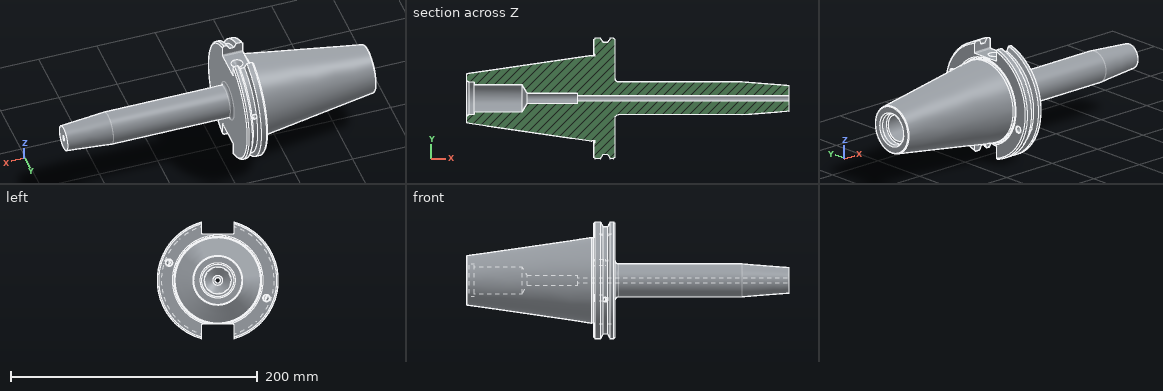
import cadquery as cq
import math


GAUGE_DIA = 69.85
TAPER_LENGTH = 101.6
TAPER_RATIO = 7 / 24
TAPER_END_CHAMFER = 0.6
NECK_DIA = 69.25
NECK_RUNOUT = 0.3
RELIEF_DIA = 73.6
RELIEF_FLOOR_DIA = 71.4
RELIEF_DEPTH = 1.0

FLANGE_DIA = 98.3
FLANGE_BACK = 1.5
FLANGE_FRONT = 19.05
FLANGE_CHAMFER = 1.3
GROOVE_CENTER = 11.1
GROOVE_FLOOR_DIA = 91.2
GROOVE_FLOOR_WIDTH = 3.7
GROOVE_HALF_ANGLE = 30

SLOT_WIDTH = 26.2
SLOT_FILLET = 0.7
UPPER_SLOT_FLOOR = 37.7
LOWER_SLOT_FLOOR = 35.3
DIMPLE_DIA = 9.53
DRILL_POINT_ANGLE = 118

SHANK_DIA = 27.0
SHANK_FILLET = 2.5
OVERALL_REACH = 160.0
NOSE_END_DIA = 21.0
NOSE_HALF_ANGLE = 4.5

MOUTH_DIA = 28.6
MOUTH_CHAMFER_LENGTH = 2.0
RECESS_DIA = 26.2
RECESS_DEPTH = 6.3
SOCKET_DIA = 21.97
SOCKET_DEPTH = 45.0
PILOT_DIA = 8.0
PILOT_DEPTH = 90.0
THROUGH_DIA = 4.2

COOLANT_ANGLE = 20
COOLANT_RADIUS = 42.0
COOLANT_DIA = 5.0
COOLANT_MOUTH_DIA = 6.0
RADIAL_HOLE_DIA = 4.13


def drill_point(diameter):
    """Length of the conical tip left by a drill."""
    return diameter / 2 / math.tan(math.radians(DRILL_POINT_ANGLE / 2))


def revolve_about_x(points):
    """Turn a half profile of (x, radius) points into a solid about X."""
    return cq.Workplane("XY").polyline(points).close().revolve(360, (0, 0, 0), (1, 0, 0))


def drill(start, direction, diameter, depth):
    """Blind drilled hole: a cylinder of the given depth with a conical tip."""
    plane = cq.Plane(origin=start, normal=direction)
    radius = diameter / 2
    tip = depth + drill_point(diameter)
    profile = [(0, 0), (radius, 0), (radius, depth), (0, tip)]
    hole = cq.Workplane("XY").polyline(profile).close().revolve(360, (0, 0, 0), (0, 1, 0))
    hole = hole.rotate((0, 0, 0), (1, 0, 0), 90)
    return cq.Workplane(obj=hole.val().moved(cq.Location(plane)))


def make_taper():
    gauge_radius = GAUGE_DIA / 2
    neck_radius = NECK_DIA / 2
    end_radius = (GAUGE_DIA - TAPER_LENGTH * TAPER_RATIO) / 2
    profile = [
        (-TAPER_LENGTH, 0),
        (-TAPER_LENGTH, end_radius - TAPER_END_CHAMFER),
        (-TAPER_LENGTH + TAPER_END_CHAMFER, end_radius + TAPER_END_CHAMFER * TAPER_RATIO / 2),
        (0, gauge_radius),
        (NECK_RUNOUT, neck_radius),
        (FLANGE_BACK, neck_radius),
        (FLANGE_BACK, 0),
    ]
    return revolve_about_x(profile)


def make_flange():
    radius = FLANGE_DIA / 2
    floor_radius = GROOVE_FLOOR_DIA / 2
    floor_half = GROOVE_FLOOR_WIDTH / 2
    mouth_half = floor_half + (radius - floor_radius) * math.tan(math.radians(GROOVE_HALF_ANGLE))
    profile = [
        (FLANGE_BACK, 0),
        (FLANGE_BACK, radius - FLANGE_CHAMFER),
        (FLANGE_BACK + FLANGE_CHAMFER, radius),
        (GROOVE_CENTER - mouth_half, radius),
        (GROOVE_CENTER - floor_half, floor_radius),
        (GROOVE_CENTER + floor_half, floor_radius),
        (GROOVE_CENTER + mouth_half, radius),
        (FLANGE_FRONT - FLANGE_CHAMFER, radius),
        (FLANGE_FRONT, radius - FLANGE_CHAMFER),
        (FLANGE_FRONT, 0),
    ]
    return revolve_about_x(profile)


def make_shank():
    shank_radius = SHANK_DIA / 2
    nose_radius = NOSE_END_DIA / 2
    nose_length = (shank_radius - nose_radius) / math.tan(math.radians(NOSE_HALF_ANGLE))
    fillet_end = FLANGE_FRONT + SHANK_FILLET
    fillet_middle = SHANK_FILLET * (1 - math.sqrt(0.5))
    return (
        cq.Workplane("XY")
        .moveTo(FLANGE_FRONT, 0)
        .lineTo(FLANGE_FRONT, shank_radius + SHANK_FILLET)
        .threePointArc(
            (FLANGE_FRONT + fillet_middle, shank_radius + fillet_middle),
            (fillet_end, shank_radius),
        )
        .lineTo(OVERALL_REACH - nose_length, shank_radius)
        .lineTo(OVERALL_REACH, nose_radius)
        .lineTo(OVERALL_REACH, 0)
        .close()
        .revolve(360, (0, 0, 0), (1, 0, 0))
    )


def make_bore():
    """Stepped cavity along the axis, with a drill-point cone below the socket."""
    rear = -TAPER_LENGTH
    socket_end = rear + SOCKET_DEPTH
    cone_length = drill_point(SOCKET_DIA) - drill_point(PILOT_DIA)
    profile = [
        (rear, 0),
        (rear, MOUTH_DIA / 2),
        (rear + MOUTH_CHAMFER_LENGTH, RECESS_DIA / 2),
        (rear + RECESS_DEPTH, RECESS_DIA / 2),
        (rear + RECESS_DEPTH, SOCKET_DIA / 2),
        (socket_end, SOCKET_DIA / 2),
        (socket_end + cone_length, PILOT_DIA / 2),
        (rear + PILOT_DEPTH, PILOT_DIA / 2),
        (rear + PILOT_DEPTH, THROUGH_DIA / 2),
        (OVERALL_REACH, THROUGH_DIA / 2),
        (OVERALL_REACH, 0),
    ]
    return revolve_about_x(profile)


def make_relief():
    """Ring-shaped relief in the flange back around the neck, with a sloping outer wall."""
    profile = [
        (FLANGE_BACK, NECK_DIA / 2),
        (FLANGE_BACK, RELIEF_DIA / 2),
        (FLANGE_BACK + RELIEF_DEPTH, RELIEF_FLOOR_DIA / 2),
        (FLANGE_BACK + RELIEF_DEPTH, NECK_DIA / 2),
    ]
    return revolve_about_x(profile)


def make_drive_slots():
    """Two slots across the flange, at +Z and -Z, with floors at unequal heights."""
    flange_width = FLANGE_FRONT - FLANGE_BACK
    slots = cq.Workplane("XY")
    for side, floor in ((1, UPPER_SLOT_FLOOR), (-1, LOWER_SLOT_FLOOR)):
        height = FLANGE_DIA / 2 - floor
        slot = cq.Workplane("XY").box(flange_width, SLOT_WIDTH, height)
        floor_face = "<Z" if side > 0 else ">Z"
        slot = slot.faces(floor_face).edges("|X").fillet(SLOT_FILLET)
        middle = (FLANGE_BACK + flange_width / 2, 0, side * (floor + height / 2))
        slots = slots.add(slot.translate(middle))
    return slots.combine()


def make_dimple():
    """Conical dimple left by a drill point in the floor of the upper drive slot."""
    center = cq.Vector(GROOVE_CENTER, 0, UPPER_SLOT_FLOOR)
    return cq.Solid.makeCone(DIMPLE_DIA / 2, 0, drill_point(DIMPLE_DIA), center, cq.Vector(0, 0, -1))


def make_coolant_holes():
    """Opposed pairs: an axial hole from the flange back meeting a radial hole from the groove."""
    mouth_depth = (COOLANT_MOUTH_DIA - COOLANT_DIA) / 2
    rim_radius = FLANGE_DIA / 2
    holes = cq.Workplane("XY")
    for angle in (COOLANT_ANGLE, COOLANT_ANGLE + 180):
        out_y = math.cos(math.radians(angle))
        out_z = math.sin(math.radians(angle))
        axial_start = (FLANGE_BACK, COOLANT_RADIUS * out_y, COOLANT_RADIUS * out_z)
        axial = drill(axial_start, (1, 0, 0), COOLANT_DIA, GROOVE_CENTER - FLANGE_BACK)
        mouth = cq.Solid.makeCone(
            COOLANT_MOUTH_DIA / 2,
            COOLANT_DIA / 2,
            mouth_depth,
            cq.Vector(axial_start),
            cq.Vector(1, 0, 0),
        )
        radial_start = (GROOVE_CENTER, rim_radius * out_y, rim_radius * out_z)
        radial = drill(radial_start, (0, -out_y, -out_z), RADIAL_HOLE_DIA, rim_radius - COOLANT_RADIUS)
        holes = holes.add(axial).add(mouth).add(radial)
    return holes.combine()


flange = make_flange().cut(make_relief())
body = make_taper().union(flange).union(make_shank())
result = body.cut(make_bore()).cut(make_drive_slots()).cut(make_dimple()).cut(make_coolant_holes())